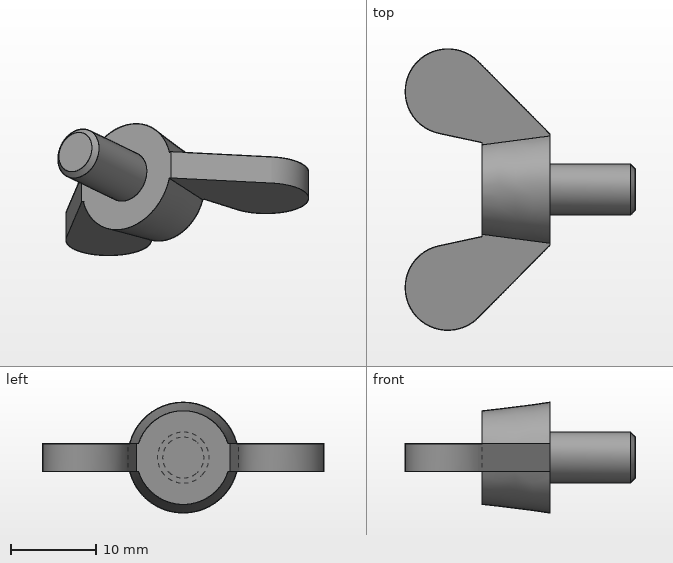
import cadquery as cq
import math

span = 33.0
hub_length = 8.0
hub_large_radius = 13.0 / 2
hub_small_radius = 11.0 / 2
shank_radius = 6.0 / 2
shank_length = 10.0
shank_chamfer = 0.6
wing_thickness = 3.3
lobe_radius = 5.0
wing_overhang = 9.0

lobe_x = lobe_radius - hub_length - wing_overhang
lobe_y = span / 2 - lobe_radius


def tangent_point(point, side):
    """Point where a line from the given point touches the lobe circle."""
    dx = point[0] - lobe_x
    dy = point[1] - lobe_y
    angle = math.atan2(dy, dx) + side * math.acos(lobe_radius / math.hypot(dx, dy))
    return (lobe_x + lobe_radius * math.cos(angle), lobe_y + lobe_radius * math.sin(angle))


def make_body():
    """Conical hub and chamfered shank, revolved about X."""
    profile = [
        (-hub_length, 0),
        (-hub_length, hub_small_radius),
        (0, hub_large_radius),
        (0, shank_radius),
        (shank_length - shank_chamfer, shank_radius),
        (shank_length, shank_radius - shank_chamfer),
        (shank_length, 0),
    ]
    return cq.Workplane("XY").polyline(profile).close().revolve(360, (0, 0, 0), (1, 0, 0))


def make_wing():
    """Flat +Y wing: a round lobe with straight tangent sides running into the hub."""
    outer_root = (0, hub_large_radius)
    inner_root = (-hub_length, hub_small_radius)
    tip_angle = math.radians(135)
    tip = (
        lobe_x + lobe_radius * math.cos(tip_angle),
        lobe_y + lobe_radius * math.sin(tip_angle),
    )
    return (
        cq.Workplane("XY")
        .moveTo(0, 0)
        .lineTo(*outer_root)
        .lineTo(*tangent_point(outer_root, 1))
        .threePointArc(tip, tangent_point(inner_root, -1))
        .lineTo(*inner_root)
        .lineTo(-hub_length, 0)
        .close()
        .extrude(wing_thickness / 2, both=True)
    )


wing = make_wing()
result = make_body().union(wing).union(wing.mirror("XZ"))